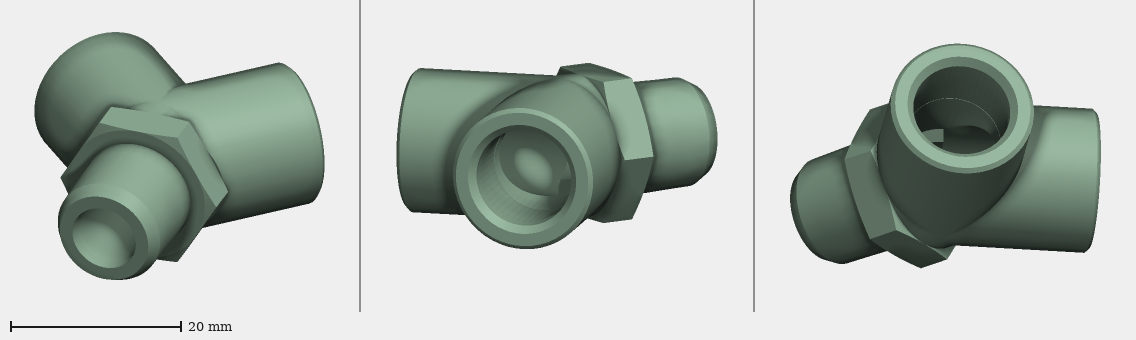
import cadquery as cq
import math


body_dia = 17.0
body_radius = body_dia / 2
arm_angle = 45
arm_length = 17.63
arm_chamfer = 0.48

thread_bore_dia = 11.5
drill_dia = 11.45
thread_end = 8.17
mouth_dia = 13.12
mouth_depth = 0.9

hex_top = -2.9
hex_height = 4.6
hex_bottom = hex_top - hex_height
hex_corner_radius = body_radius / math.cos(math.radians(30))
hex_chamfer_angle = 15

stem_end = -18.5
stem_root_dia = 13.4
stem_taper_end_dia = 12.9
stem_tip_dia = 11.15
stem_chamfer_length = 1.6
stem_bore_dia = 8.0


def revolve_about_y(points):
    """Revolve a closed (radius, y) outline about the Y axis."""
    return cq.Workplane("XY").polyline(points).close().revolve(360, (0, 0, 0), (0, 1, 0))


def place_arm(shape, side):
    """Tilt a shape built along +Y toward +X (side = 1) or -X (side = -1)."""
    return shape.rotate((0, 0, 0), (0, 0, 1), -side * arm_angle)


def make_arm():
    return revolve_about_y([
        (0, 0),
        (body_radius, 0),
        (body_radius, arm_length - arm_chamfer),
        (body_radius - arm_chamfer, arm_length),
        (0, arm_length),
    ])


def trim_at_collar(arm):
    """Cut away the part of a tilted arm that reaches below the collar's upper face."""
    size = 2 * (arm_length + body_radius)
    keep = cq.Workplane("XY").box(size, size, size).translate((0, hex_top + size / 2, 0))
    return arm.intersect(keep)


def make_arm_bore():
    thread_radius = thread_bore_dia / 2
    return revolve_about_y([
        (0, 0),
        (drill_dia / 2, 0),
        (drill_dia / 2, thread_end),
        (thread_radius, thread_end),
        (thread_radius, arm_length - mouth_depth),
        (mouth_dia / 2, arm_length),
        (0, arm_length),
    ])


def make_hex_collar():
    corners = [
        (
            hex_corner_radius * math.cos(math.radians(60 * i)),
            hex_corner_radius * math.sin(math.radians(60 * i)),
        )
        for i in range(6)
    ]
    prism = cq.Workplane("XZ", origin=(0, hex_top, 0)).polyline(corners).close().extrude(hex_height)
    corner_drop = (hex_corner_radius - body_radius) * math.tan(math.radians(hex_chamfer_angle))
    envelope = revolve_about_y([
        (0, hex_bottom),
        (body_radius, hex_bottom),
        (hex_corner_radius, hex_bottom + corner_drop),
        (hex_corner_radius, hex_top - corner_drop),
        (body_radius, hex_top),
        (0, hex_top),
    ])
    return prism.intersect(envelope)


def make_stem():
    return revolve_about_y([
        (0, stem_end),
        (stem_tip_dia / 2, stem_end),
        (stem_taper_end_dia / 2, stem_end + stem_chamfer_length),
        (stem_root_dia / 2, hex_bottom),
        (0, hex_bottom),
    ])


def make_cylinder_down(diameter, end):
    """Cylinder along the Y axis from the origin down to y = end."""
    return cq.Workplane("XZ").circle(diameter / 2).extrude(-end)


result = make_cylinder_down(body_dia, hex_bottom)
result = result.union(make_hex_collar()).union(make_stem())
for side in (-1, 1):
    result = result.union(trim_at_collar(place_arm(make_arm(), side)))

result = result.cut(make_cylinder_down(stem_bore_dia, stem_end))
for side in (-1, 1):
    result = result.cut(place_arm(make_arm_bore(), side))